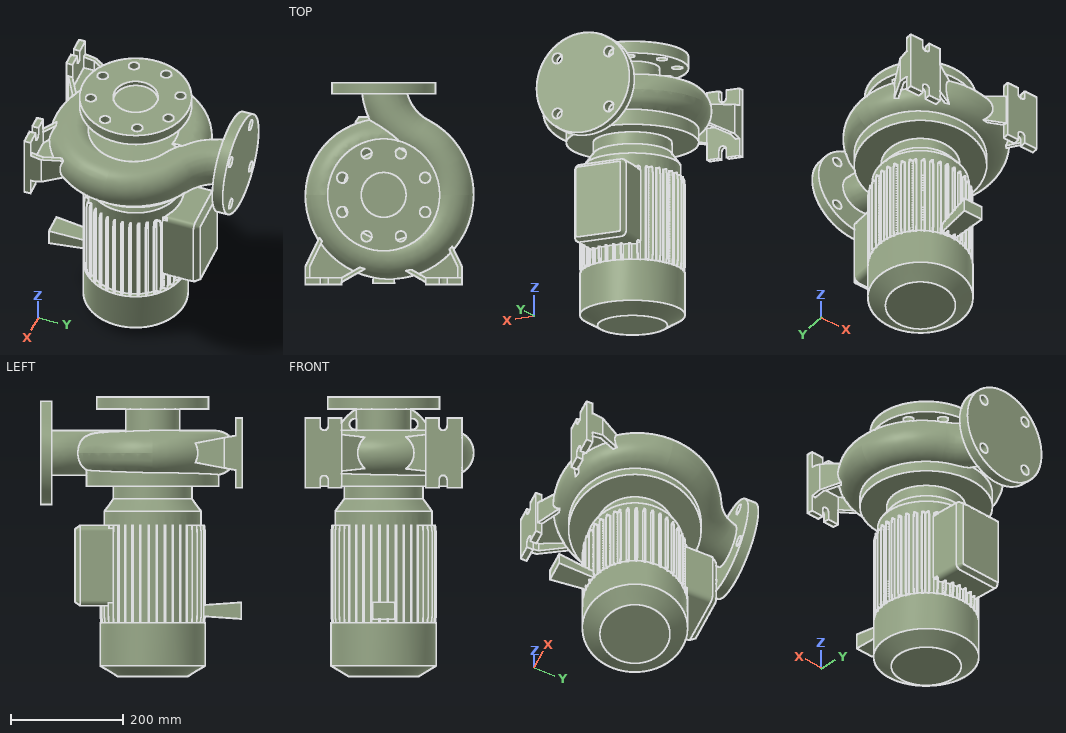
import cadquery as cq
import math


suction_face_z = 100.0
suction_flange_diameter = 200.0
suction_flange_thickness = 22.0
suction_neck_diameter = 97.0
suction_bore_diameter = 80.0
suction_bore_depth = 10.0
suction_bolt_circle = 160.0
suction_bolt_count = 8

discharge_face_y = 200.0
discharge_flange_diameter = 185.0
discharge_flange_thickness = 20.0
discharge_bolt_circle = 145.0
discharge_bolt_count = 4
bolt_hole_diameter = 19.0

tube_radius = 40.0
volute_left_x = -140.0
volute_right_x = 160.87
volute_center_x = (volute_left_x + volute_right_x) / 2
spine_radius = (volute_right_x - volute_left_x) / 2 - tube_radius
tail_spine_radius = -volute_left_x - tube_radius
tail_end_tube_radius = 34.5
tail_end_angle = 75.0

casing_neck_z = 34.0
casing_rim_z = 20.5
casing_bottom_z = -60.0
casing_diameter = 236.5
lantern_diameter = 141.0
lantern_bottom_z = -82.0
motor_diameter = 173.0
motor_shoulder_z = -104.0
fin_top_z = -129.0
fin_bottom_z = -303.5
cowl_diameter = 188.0
cowl_chamfer_z = -380.0
cowl_end_diameter = 125.0
motor_bottom_z = -399.0

fins_per_side = 10
fin_pitch_angle = 90.0 / fins_per_side
fin_thickness = 2.0
fin_root_depth = 5.0
fin_end_length = 12.0
fin_end_drop = 1.5

box_half_width = 51.0
box_outer_y = 139.0
box_height = 144.0
box_corner_radius = 10.0
box_chamfer_depth = 10.0
box_chamfer_width = 7.0

arm_end_y = -158.0
arm_center_z = -281.5
arm_end_width = 39.0
arm_end_height = 30.0
arm_root_y = -80.0
arm_root_width = 28.0
arm_root_height = 19.0

foot_outer_x = 140.0
foot_width = 65.0
foot_height = 125.0
foot_front_y = -160.0
foot_thickness = 12.0
foot_back_y = foot_front_y + foot_thickness
slot_x = 106.0
slot_center_z = 47.5
slot_width = 14.0
rib_width = 8.0
outer_rib_bend_y = -128.0
outer_rib_angle = 64.0
inner_rib_angle = 30.0
outer_rib_end_y = -70.0
inner_rib_run = 50.0
rib_half_height = 31.0
rib_taper = 0.19


def cylinder(diameter, bottom_z, top_z):
    return cq.Workplane("XY").workplane(offset=bottom_z).circle(diameter / 2).extrude(top_z - bottom_z)


def turned_body():
    """Suction neck, casing, lantern and motor as one revolved profile."""
    profile = [
        (0, suction_face_z - suction_flange_thickness),
        (suction_neck_diameter / 2, suction_face_z - suction_flange_thickness),
        (suction_neck_diameter / 2, casing_neck_z),
        (casing_diameter / 2, casing_rim_z),
        (casing_diameter / 2, casing_bottom_z),
        (lantern_diameter / 2, casing_bottom_z),
        (lantern_diameter / 2, lantern_bottom_z),
        (motor_diameter / 2, motor_shoulder_z),
        (motor_diameter / 2, fin_bottom_z),
        (cowl_diameter / 2, fin_bottom_z),
        (cowl_diameter / 2, cowl_chamfer_z),
        (cowl_end_diameter / 2, motor_bottom_z),
        (0, motor_bottom_z),
    ]
    half_section = cq.Workplane("XZ").polyline([(-radius, z) for radius, z in profile]).close()
    return half_section.revolve(360, (0, 0, 0), (0, 1, 0))


def suction_flange():
    flange = cylinder(suction_flange_diameter, suction_face_z - suction_flange_thickness, suction_face_z)
    first_angle = 180.0 / suction_bolt_count
    return (
        flange.faces(">Z").workplane()
        .polarArray(suction_bolt_circle / 2, first_angle, 360, suction_bolt_count)
        .hole(bolt_hole_diameter)
        .faces(">Z").workplane()
        .hole(suction_bore_diameter, suction_bore_depth)
    )


def discharge_flange():
    plane = cq.Workplane("XZ", origin=(0, discharge_face_y, 0))
    flange = plane.circle(discharge_flange_diameter / 2).extrude(discharge_flange_thickness)
    holes = (
        plane.polarArray(discharge_bolt_circle / 2, 180.0 / discharge_bolt_count, 360, discharge_bolt_count)
        .circle(bolt_hole_diameter / 2)
        .extrude(discharge_flange_thickness)
    )
    return flange.cut(holes)


def volute_tube():
    """Constant tube: half turn around the -Y side, then an S-bend up to the discharge flange."""
    c = volute_center_x
    bend_radius = (discharge_face_y**2 + c**2 - spine_radius**2) / (2 * (spine_radius + c))
    joint_angle = math.acos((bend_radius - c) / (spine_radius + bend_radius))
    joint = (c + spine_radius * math.cos(joint_angle), spine_radius * math.sin(joint_angle))
    half_bend = math.pi + joint_angle / 2
    bend_middle = (
        bend_radius + bend_radius * math.cos(half_bend),
        discharge_face_y + bend_radius * math.sin(half_bend),
    )
    start = (c - spine_radius, 0)
    rise_middle = (
        c + spine_radius * math.cos(joint_angle / 2),
        spine_radius * math.sin(joint_angle / 2),
    )
    spine = (
        cq.Workplane("XY").moveTo(*start)
        .threePointArc((c, -spine_radius), (c + spine_radius, 0))
        .threePointArc(rise_middle, joint)
        .threePointArc(bend_middle, (0, discharge_face_y))
    )
    return cq.Workplane("XZ", origin=(*start, 0)).circle(tube_radius).sweep(spine)


def volute_tail():
    """Tube that shrinks as it runs on from the volute start, under the discharge bend."""
    end_angle = math.radians(tail_end_angle)
    middle_angle = (math.pi + end_angle) / 2

    def spine_point(angle):
        return (tail_spine_radius * math.cos(angle), tail_spine_radius * math.sin(angle))

    start = spine_point(math.pi)
    end = spine_point(end_angle)
    spine = cq.Workplane("XY").moveTo(*start).threePointArc(spine_point(middle_angle), end)
    start_circle = cq.Wire.makeCircle(tube_radius, cq.Vector(*start, 0), cq.Vector(0, 1, 0))
    end_direction = cq.Vector(math.sin(end_angle), -math.cos(end_angle), 0)
    end_circle = cq.Wire.makeCircle(tail_end_tube_radius, cq.Vector(*end, 0), end_direction)
    return cq.Workplane(cq.Solid.sweep_multi([start_circle, end_circle], spine.val()))


def fin(offset):
    """Fin on the +X side at Y = offset, with its outer edge eased off towards both ends."""
    outer_radius = cowl_diameter / 2
    root_x = math.sqrt((motor_diameter / 2) ** 2 - offset**2) - fin_root_depth
    tip_x = math.sqrt(outer_radius**2 - (abs(offset) + fin_thickness / 2) ** 2)
    outline = [
        (root_x, fin_bottom_z),
        (tip_x - fin_end_drop, fin_bottom_z),
        (tip_x, fin_bottom_z + fin_end_length),
        (tip_x, fin_top_z - fin_end_length),
        (tip_x - fin_end_drop, fin_top_z),
        (root_x, fin_top_z),
    ]
    plane = cq.Workplane("XZ", origin=(0, offset, 0))
    return plane.polyline(outline).close().extrude(fin_thickness / 2, both=True)


def cooling_fins():
    fins = cq.Workplane("XY")
    for index in range(fins_per_side):
        angle = math.radians((index - (fins_per_side - 1) / 2) * fin_pitch_angle)
        side_fin = fin(cowl_diameter / 2 * math.sin(angle))
        for side in range(4):
            fins = fins.add(side_fin.rotate((0, 0, 0), (0, 0, 1), 90 * side))
    return fins.combine()


def terminal_box():
    """Box with rounded corners whose outer end narrows to a chamfered lid."""
    lid_y = box_outer_y - box_chamfer_depth

    def outline(y):
        plane = cq.Workplane("ZX", origin=(0, y, fin_top_z - box_height / 2))
        rectangle = plane.sketch().rect(box_height, 2 * box_half_width)
        return rectangle.vertices().fillet(box_corner_radius).finalize()

    lid_taper = math.degrees(math.atan(box_chamfer_width / box_chamfer_depth))
    lid = outline(lid_y).extrude(box_chamfer_depth, taper=lid_taper)
    return outline(0).extrude(lid_y).union(lid)


def motor_arm():
    return (
        cq.Workplane("XZ", origin=(0, arm_end_y, arm_center_z))
        .rect(arm_end_width, arm_end_height)
        .workplane(offset=arm_end_y - arm_root_y)
        .rect(arm_root_width, arm_root_height)
        .loft(ruled=True)
    )


def foot_plate():
    """Upright plate on the -X side with an open slot at its top and bottom edges."""
    plate = (
        cq.Workplane("XY", origin=(-foot_outer_x, foot_front_y, -foot_height / 2))
        .box(foot_width, foot_thickness, foot_height, centered=False)
    )
    slot_plane = cq.Workplane("XZ", origin=(-slot_x, foot_back_y, 0))
    slot_straight = foot_height / 2 - slot_center_z
    for side in (-1, 1):
        slot_end = slot_plane.center(0, side * slot_center_z).circle(slot_width / 2).extrude(foot_thickness)
        slot_mouth = (
            slot_plane.center(0, side * (slot_center_z + slot_straight / 2))
            .rect(slot_width, slot_straight)
            .extrude(foot_thickness)
        )
        plate = plate.cut(slot_end).cut(slot_mouth)
    return plate


def upright_prism(points, height):
    return cq.Workplane("XY").workplane(offset=-height / 2).polyline(points).close().extrude(height)


def foot_ribs():
    """Two ribs and a web from the -X foot plate into the volute; the ribs get lower towards it."""
    outer_run = (outer_rib_end_y - outer_rib_bend_y) / math.tan(math.radians(outer_rib_angle))
    outer_line = [
        (-foot_outer_x, foot_back_y),
        (-foot_outer_x, outer_rib_bend_y),
        (-foot_outer_x + outer_run, outer_rib_end_y),
    ]
    outer_rib = outer_line + [(x + rib_width, y) for x, y in reversed(outer_line)]

    inner_x = -foot_outer_x + foot_width
    inner_rise = inner_rib_run * math.tan(math.radians(inner_rib_angle))
    inner_line = [(inner_x, foot_back_y), (inner_x + inner_rib_run, foot_back_y + inner_rise)]
    inner_rib = inner_line + [(x, y - rib_width) for x, y in reversed(inner_line)]

    half_height_at_front = rib_half_height + rib_taper * foot_thickness
    half_height_at_axis = rib_half_height + rib_taper * foot_back_y
    side_outline = [
        (foot_front_y, -half_height_at_front),
        (foot_front_y, half_height_at_front),
        (0, half_height_at_axis),
        (0, -half_height_at_axis),
    ]
    tapered_block = (
        cq.Workplane("YZ", origin=(-foot_outer_x, 0, 0)).polyline(side_outline).close().extrude(foot_outer_x)
    )
    ribs = upright_prism(outer_rib, foot_height).union(upright_prism(inner_rib, foot_height))
    web = upright_prism(outer_line + inner_line[::-1], rib_width)
    return ribs.intersect(tapered_block).union(web)


left_foot = foot_plate().union(foot_ribs())
result = (
    turned_body()
    .union(suction_flange())
    .union(volute_tube())
    .union(volute_tail())
    .union(discharge_flange())
    .union(cooling_fins())
    .union(terminal_box())
    .union(motor_arm())
    .union(left_foot)
    .union(left_foot.mirror("YZ"))
)